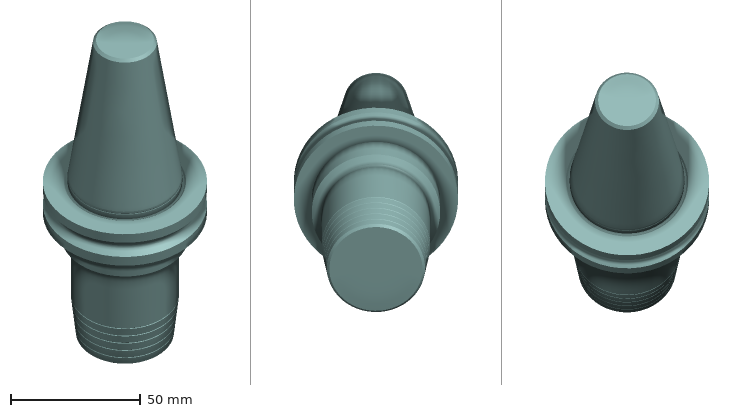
import cadquery as cq
import math

total_length = 148.9
flange_radius = 31.79

gauge_height = 80.5
gauge_radius = 22.2
taper_half_slope = 7 / 48
shank_end_chamfer_height = 1.0
shank_end_chamfer_width = 1.2

neck_groove_center = 79.4
neck_groove_width = 0.6
neck_groove_depth = 0.1

recess_outer_radius = 23.7
recess_floor_radius = 23.1
recess_depth = 0.5

flange_top = 77.3
flange_bottom = 61.3
groove_center = 69.4
groove_root_radius = 28.1
groove_root_width = 3.0
groove_root_fillet = 1.0
wall_slope = math.tan(math.radians(30))

collar_radius = 24.9
collar_bottom = 50.0
body_radius = 21.0
body_fillet = 1.2

nose_top = 20.3
nose_end_radius = 18.9
ring_count = 5
ring_pitch = 4.0
ring_width = 0.5
ring_depth = 0.22
nose_chamfer = 0.9


def nose_radius(height):
    """Radius of the nose cone at a given height."""
    return nose_end_radius + (body_radius - nose_end_radius) * height / nose_top


def revolve_profile(points):
    """Revolve a closed (radius, height) outline about the Z axis."""
    return cq.Workplane("XZ").polyline(points).close().revolve(360, (0, 0), (0, 1))


def fillet_circle(solid, radius, height, fillet):
    """Round the circular edge at the given radius and height."""
    margin = 0.07
    reach = radius + margin
    box = cq.selectors.BoxSelector(
        (-reach, -reach, height - margin),
        (reach, reach, height + margin),
        boundingbox=True,
    )
    return solid.edges(box).fillet(fillet)


def make_shank():
    chamfer_bottom = total_length - shank_end_chamfer_height
    end_radius = gauge_radius - (chamfer_bottom - gauge_height) * taper_half_slope
    return revolve_profile([
        (0, flange_bottom),
        (gauge_radius, flange_bottom),
        (gauge_radius, neck_groove_center - neck_groove_width / 2),
        (gauge_radius - neck_groove_depth, neck_groove_center),
        (gauge_radius, neck_groove_center + neck_groove_width / 2),
        (gauge_radius, gauge_height),
        (end_radius, chamfer_bottom),
        (end_radius - shank_end_chamfer_width, total_length),
        (0, total_length),
    ])


def make_flange():
    root_top = groove_center + groove_root_width / 2
    root_bottom = groove_center - groove_root_width / 2
    wall_height = (flange_radius - groove_root_radius) * wall_slope
    flange = revolve_profile([
        (0, flange_bottom),
        (flange_radius, flange_bottom),
        (flange_radius, root_bottom - wall_height),
        (groove_root_radius, root_bottom),
        (groove_root_radius, root_top),
        (flange_radius, root_top + wall_height),
        (flange_radius, flange_top),
        (recess_outer_radius, flange_top),
        (recess_floor_radius, flange_top - recess_depth),
        (0, flange_top - recess_depth),
    ])
    return fillet_circle(flange, groove_root_radius, root_bottom, groove_root_fillet)


def make_body():
    body_top = collar_bottom - (collar_radius - body_radius) * wall_slope
    body = revolve_profile([
        (0, 0),
        (nose_radius(0) - nose_chamfer, 0),
        (nose_radius(nose_chamfer), nose_chamfer),
        (body_radius, nose_top),
        (body_radius, body_top),
        (collar_radius, collar_bottom),
        (collar_radius, flange_bottom),
        (0, flange_bottom),
    ])
    return fillet_circle(body, body_radius, body_top, body_fillet)


def make_grip_groove(height):
    """Ring with a V section, opening outward across the nose surface."""
    tip = nose_radius(height) - ring_depth
    outer = tip + 2 * ring_depth
    return revolve_profile([
        (tip, height),
        (outer, height - ring_width),
        (outer, height + ring_width),
    ])


result = make_body().union(make_flange()).union(make_shank())
for ring in range(ring_count):
    result = result.cut(make_grip_groove(nose_top - ring * ring_pitch))